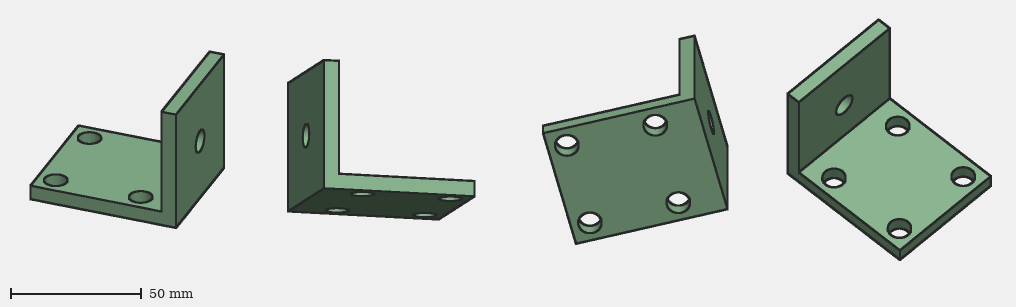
import cadquery as cq

length = 60.0
width = 50.0
height = 50.0
thickness = 6.0

hole_diameter = 9.0
hole_spacing = 35.0
edge_distance = (width - hole_spacing) / 2


def make_bracket():
    """Base plate along X with an upright wall at its +X end."""
    base = cq.Workplane("XY").box(length, width, thickness, centered=(False, True, False))
    wall = (
        cq.Workplane("XY")
        .box(thickness, width, height, centered=(False, True, False))
        .translate((length - thickness, 0, 0))
    )
    return base.union(wall)


def make_base_holes():
    """Square pattern of four through holes, set in equally from three edges of the base."""
    pattern_center_x = edge_distance + hole_spacing / 2
    return (
        cq.Workplane("XY")
        .center(pattern_center_x, 0)
        .rarray(hole_spacing, hole_spacing, 2, 2)
        .circle(hole_diameter / 2)
        .extrude(thickness)
    )


def make_wall_hole():
    """Through hole along X, centred on the wall's full height and width."""
    return (
        cq.Workplane("YZ", origin=(length - thickness, 0, height / 2))
        .circle(hole_diameter / 2)
        .extrude(thickness)
    )


result = make_bracket().cut(make_base_holes()).cut(make_wall_hole())